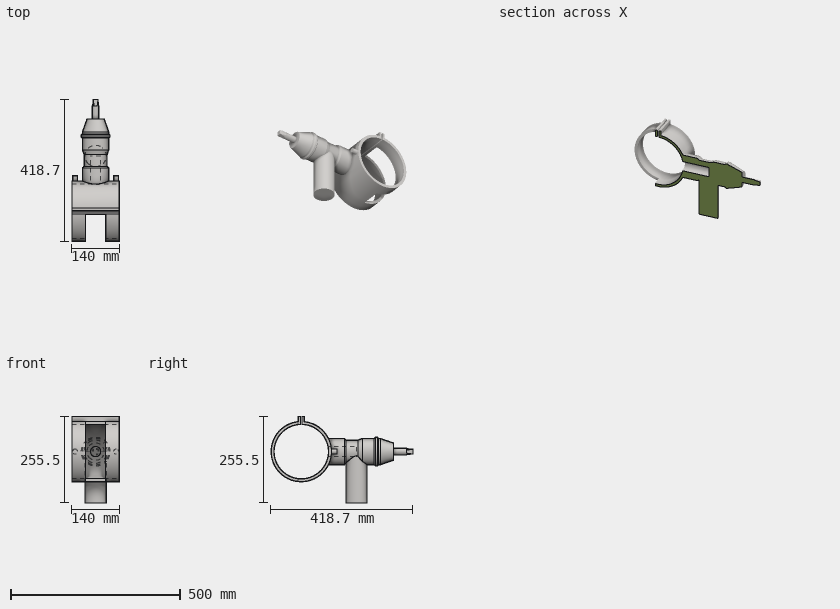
import cadquery as cq
import math

RING_INNER_RADIUS = 80.0
RING_WALL = 9.0
RING_OUTER_RADIUS = RING_INNER_RADIUS + RING_WALL
RING_WIDTH = 140.0

FLANGE_GAP = 4.0
FLANGE_THICKNESS = 7.0
FLANGE_HEIGHT = 15.0
FLANGE_OUTER_Y = FLANGE_GAP / 2 + FLANGE_THICKNESS
FLANGE_TOP_Z = math.sqrt(RING_OUTER_RADIUS**2 - FLANGE_OUTER_Y**2) + FLANGE_HEIGHT

WINDOW_WIDTH = 59.0
WINDOW_EDGE_Y = -10.0

PIN_RADIUS = 7.5
PIN_SPACING = 121.0
PIN_END_Y = 105.0

BODY_RADIUS = 39.0
NECK_RADIUS = 34.0
COLLAR_RADIUS = 42.5
NOSE_RADIUS = 25.5
NECK_START_CHAMFER_Y = 127.0
NECK_START_Y = 132.0
NECK_END_Y = 166.5
BARREL_START_Y = 180.0
COLLAR_START_Y = 215.0
COLLAR_END_Y = 228.0
COLLAR_BEVEL = 3.5
NOSE_START_Y = 233.3
NOSE_END_Y = 272.0

BORE_RADIUS = 15.0

PIPE_RADIUS = 31.5
PIPE_Y = 162.7
PIPE_BOTTOM_Z = -152.0

SPINDLE_RADIUS = 10.0
SPINDLE_END_Y = 329.72
SQUARE_LENGTH = 20.0
SQUARE_TIP_SIDE = 13.8
SQUARE_ROOT_SIDE = 18.0


def y_cylinder(radius, start_y, end_y, x=0.0):
    """Cylinder along +Y between two Y positions."""
    start = cq.Workplane("XZ", origin=(x, start_y, 0))
    return start.circle(radius).extrude(start_y - end_y)


def x_cylinder(radius):
    """Cylinder along X, as wide as the ring."""
    return cq.Workplane("YZ", origin=(-RING_WIDTH / 2, 0, 0)).circle(radius).extrude(RING_WIDTH)


def box_between(width, start_y, end_y, start_z, end_z):
    """Box centred on X between two Y and two Z positions."""
    box = cq.Workplane("XY").box(width, end_y - start_y, end_z - start_z)
    return box.translate((0, (start_y + end_y) / 2, (start_z + end_z) / 2))


def make_clamp():
    clamp = x_cylinder(RING_OUTER_RADIUS)
    clamp = clamp.union(box_between(RING_WIDTH, -FLANGE_OUTER_Y, FLANGE_OUTER_Y, 0, FLANGE_TOP_Z))
    split = box_between(RING_WIDTH, -FLANGE_GAP / 2, FLANGE_GAP / 2, 0, FLANGE_TOP_Z)
    window = box_between(
        WINDOW_WIDTH, -RING_OUTER_RADIUS, WINDOW_EDGE_Y, -RING_OUTER_RADIUS, RING_OUTER_RADIUS
    )
    return clamp.cut(split).cut(window)


def make_pins():
    pins = cq.Workplane("XY")
    for x in (-PIN_SPACING / 2, PIN_SPACING / 2):
        pins = pins.union(y_cylinder(PIN_RADIUS, 0, PIN_END_Y, x))
    return pins


def make_body():
    """Body of revolution: the profile is given as (radius, Y) points."""
    profile = [
        (0, 0),
        (BODY_RADIUS, 0),
        (BODY_RADIUS, NECK_START_CHAMFER_Y),
        (NECK_RADIUS, NECK_START_Y),
        (NECK_RADIUS, NECK_END_Y),
        (BODY_RADIUS, BARREL_START_Y),
        (BODY_RADIUS, COLLAR_START_Y),
        (COLLAR_RADIUS, COLLAR_START_Y + COLLAR_BEVEL),
        (COLLAR_RADIUS, COLLAR_END_Y - COLLAR_BEVEL),
        (BODY_RADIUS, COLLAR_END_Y),
        (BODY_RADIUS, NOSE_START_Y),
        (NOSE_RADIUS, NOSE_END_Y),
        (0, NOSE_END_Y),
    ]
    return cq.Workplane("XY").polyline(profile).close().revolve(360, (0, 0), (0, 1))


def make_pipe():
    return cq.Workplane("XY", origin=(0, PIPE_Y, 0)).circle(PIPE_RADIUS).extrude(PIPE_BOTTOM_Z)


def make_spindle():
    root_y = SPINDLE_END_Y - SQUARE_LENGTH
    shaft = y_cylinder(SPINDLE_RADIUS, NOSE_START_Y, root_y)
    tapered_square = (
        cq.Workplane("XZ", origin=(0, root_y, 0))
        .rect(SQUARE_ROOT_SIDE, SQUARE_ROOT_SIDE)
        .workplane(offset=-SQUARE_LENGTH)
        .rect(SQUARE_TIP_SIDE, SQUARE_TIP_SIDE)
        .loft()
    )
    tip = y_cylinder(SPINDLE_RADIUS, root_y, SPINDLE_END_Y).intersect(tapered_square)
    return shaft.union(tip)


body = make_body().union(make_pipe()).union(make_spindle())
solid_part = make_clamp().union(make_pins()).union(body)
ring_opening = x_cylinder(RING_INNER_RADIUS)
bore = y_cylinder(BORE_RADIUS, 0, PIPE_Y)
result = solid_part.cut(ring_opening).cut(bore)